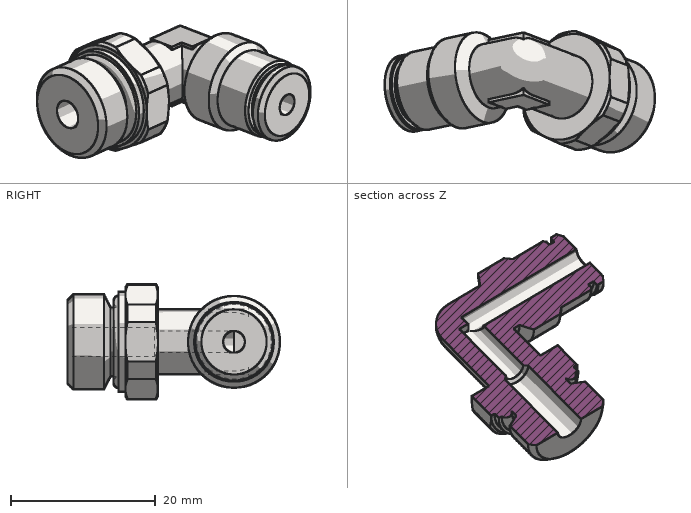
import cadquery as cq
import math

PIPE_R = 9.0 / 2
BORE_R = 3.0 / 2

FLANGE_CONE_X = 5.5
FLANGE_START_X = 6.55
FLANGE_END_X = 11.12
SLEEVE_START_X = 12.0
SLEEVE_END_X = 17.52
COLLAR_START_X = 18.35
OUTLET_END_X = 20.0
FLANGE_R = 12.7 / 2
SLEEVE_R = 11.0 / 2
SLEEVE_CHAMFER = 0.35
COLLAR_R = 10.7 / 2
COLLAR_BACK_CHAMFER = 0.18
COLLAR_FRONT_CHAMFER = 0.53

NUT_BACK = 10.5
NUT_HEIGHT = 4.5
NUT_FLATS = 15.0
NUT_CORNER_R = 15.97 / 2
NUT_CHAMFER_ANGLE = 30

NUT_FRONT = NUT_BACK + NUT_HEIGHT
SEAT_END = 15.97
SEAL_CENTER = 15.82
THREAD_CONE = 17.02
THREAD_START = 17.95
STUD_END = 29.35 - FLANGE_R
SEAT_R = 13.85 / 2
SEAL_R = 12.85 / 2
GROOVE_R = 9.5 / 2
THREAD_R = 13.15 / 2
THREAD_CHAMFER = 0.82

STUD_BORE_R = 4.0 / 2
STUD_BORE_BOTTOM = NUT_BACK

PAD_NEAR = 2.0
PAD_FAR = 4.0


def turned(points):
    """Revolve (station, radius) points about the X axis, closed along the axis."""
    first, last = points[0][0], points[-1][0]
    outline = [(first, 0)] + points + [(last, 0)]
    return cq.Workplane("XY").polyline(outline).close().revolve(360, (0, 0), (1, 0))


def to_stud(shape):
    """Turn a body made along +X so that it runs along -Y."""
    return shape.rotate((0, 0, 0), (0, 0, 1), -90)


def make_outlet():
    return turned([
        (0, PIPE_R),
        (FLANGE_CONE_X, PIPE_R),
        (FLANGE_START_X, FLANGE_R),
        (FLANGE_END_X, FLANGE_R),
        (SLEEVE_START_X, SLEEVE_R),
        (SLEEVE_END_X - SLEEVE_CHAMFER, SLEEVE_R),
        (SLEEVE_END_X, SLEEVE_R - SLEEVE_CHAMFER),
        (SLEEVE_END_X, PIPE_R),
        (COLLAR_START_X, PIPE_R),
        (COLLAR_START_X, COLLAR_R - COLLAR_BACK_CHAMFER),
        (COLLAR_START_X + COLLAR_BACK_CHAMFER, COLLAR_R),
        (OUTLET_END_X - COLLAR_FRONT_CHAMFER, COLLAR_R),
        (OUTLET_END_X, PIPE_R),
    ])


def make_nut():
    corner_circle = NUT_FLATS / math.cos(math.radians(30))
    hexagon = (
        cq.Workplane("YZ", origin=(NUT_BACK, 0, 0))
        .polygon(6, corner_circle)
        .extrude(NUT_HEIGHT)
        .rotate((0, 0, 0), (1, 0, 0), 30)
    )
    flat_r = NUT_FLATS / 2
    chamfer = (NUT_CORNER_R - flat_r) * math.tan(math.radians(NUT_CHAMFER_ANGLE))
    envelope = turned([
        (NUT_BACK, flat_r),
        (NUT_BACK + chamfer, NUT_CORNER_R),
        (NUT_FRONT - chamfer, NUT_CORNER_R),
        (NUT_FRONT, flat_r),
    ])
    return hexagon.intersect(envelope)


def make_stud():
    shank = turned([
        (0, PIPE_R),
        (NUT_FRONT, PIPE_R),
        (NUT_FRONT, SEAT_R),
        (SEAT_END, SEAT_R),
        (SEAT_END, GROOVE_R),
        (THREAD_CONE, GROOVE_R),
        (THREAD_START, THREAD_R),
        (STUD_END - THREAD_CHAMFER, THREAD_R),
        (STUD_END, THREAD_R - THREAD_CHAMFER),
    ])
    ring_r = (SEAL_R + GROOVE_R) / 2
    section_r = (SEAL_R - GROOVE_R) / 2
    seal = (
        cq.Workplane("XY")
        .center(SEAL_CENTER, ring_r)
        .circle(section_r)
        .revolve(360, (0, -ring_r), (1, -ring_r))
    )
    return to_stud(shank.union(seal).union(make_nut()))


def make_pads():
    outline = [
        (-PAD_NEAR, PAD_NEAR),
        (PAD_FAR, PAD_NEAR),
        (PAD_FAR, -PAD_NEAR),
        (PAD_NEAR, -PAD_NEAR),
        (PAD_NEAR, -PAD_FAR),
        (-PAD_NEAR, -PAD_FAR),
    ]
    return cq.Workplane("XY").polyline(outline).close().extrude(PIPE_R, both=True)


def make_bores():
    outlet_bore = turned([(0, BORE_R), (OUTLET_END_X, BORE_R)])
    cone_end = STUD_BORE_BOTTOM + STUD_BORE_R - BORE_R
    stud_bore = turned([
        (0, BORE_R),
        (STUD_BORE_BOTTOM, BORE_R),
        (cone_end, STUD_BORE_R),
        (STUD_END, STUD_BORE_R),
    ])
    return outlet_bore.union(to_stud(stud_bore))


elbow_ball = cq.Workplane("XY").sphere(PIPE_R)
body = make_outlet().union(make_stud()).union(elbow_ball).union(make_pads())
result = body.cut(make_bores())